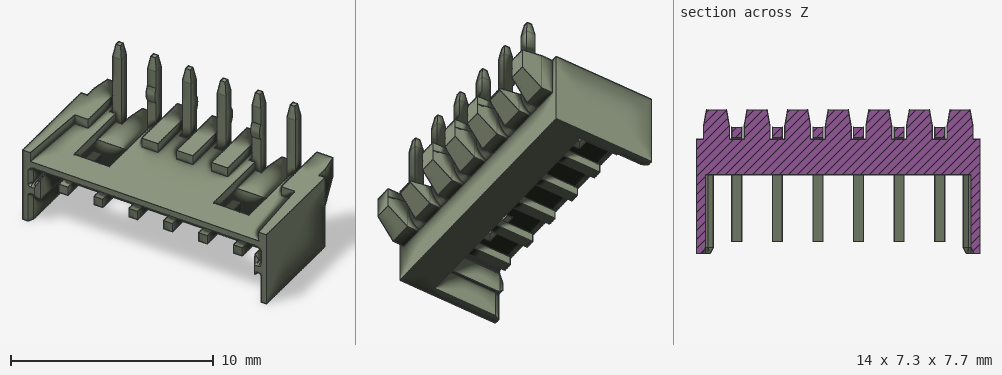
import cadquery as cq
import math


width = 14.0
half_width = width / 2
housing_length = 5.64
plate_top = 3.67
rim_top = 4.2
back_wall_front = 3.88

side_wall = 0.46
ceiling = 3.16
cavity_half_width = half_width - side_wall
corner_cut = 0.11
lead_in = 0.15
lead_in_depth = 0.3

rail_center_z = 1.92
rail_reach = 0.38
rail_neck_half = 0.35
rail_head_half = 0.62
rail_flare = rail_head_half - rail_neck_half

pitch = 2.0
pin_count = 6
pin_size = 0.5
pin_tip_size = 0.27
pin_tip_length = 0.73
pin_top = 7.7
pin_front = 0.59
pin_level = 2.15
pin_leg_y = 5.99
pin_bend_radius = 0.62
bulge_height = 5.52
bulge_half_length = 0.45
bulge_rise = 0.14

overall_length = 7.3
tab_count = pin_count + 1
tab_width = 1.29
tab_end_width = 0.92
tab_taper_start = 6.27
tab_bottom = 2.03

rim_front_width = 0.45
rim_step_width = 0.69

window_front = 1.62
window_width = 2.03


def centered(count):
    """X positions of a row of features spaced by the contact pitch."""
    return [(i - (count - 1) / 2) * pitch for i in range(count)]


def block(x0, x1, y0, y1, z0, z1):
    return cq.Workplane("XY").box(x1 - x0, y1 - y0, z1 - z0, centered=False).translate((x0, y0, z0))


def both_ends(solid):
    """The solid together with its mirror image across x = 0."""
    return solid.union(solid.mirror("YZ"))


def cavity():
    """Cavity with dovetail rails left standing and a lead-in bevel around the opening."""
    wall = cavity_half_width
    head = wall - rail_reach
    right_side = [
        (wall, -lead_in),
        (wall, rail_center_z - rail_neck_half),
        (head + rail_flare, rail_center_z - rail_neck_half),
        (head, rail_center_z - rail_head_half),
        (head, rail_center_z + rail_head_half),
        (head + rail_flare, rail_center_z + rail_neck_half),
        (wall, rail_center_z + rail_neck_half),
        (wall, ceiling - corner_cut),
        (wall - corner_cut, ceiling),
    ]
    left_side = [(-x, z) for x, z in reversed(right_side)]
    section = cq.Workplane("XZ", origin=(0, lead_in_depth, 0))
    outline = right_side + left_side
    bevel_angle = math.degrees(math.atan(lead_in / lead_in_depth))
    straight = section.polyline(outline).close().extrude(lead_in_depth - back_wall_front)
    bevel = section.polyline(outline).close().extrude(lead_in_depth, taper=-bevel_angle)
    return straight.union(bevel)


def tab(x):
    """Rear tab, narrowing towards its end, with a 45 degree slope underneath."""
    half, half_end = tab_width / 2, tab_end_width / 2
    plan = [
        (x - half, back_wall_front),
        (x + half, back_wall_front),
        (x + half, tab_taper_start),
        (x + half_end, overall_length),
        (x - half_end, overall_length),
        (x - half, tab_taper_start),
    ]
    body = cq.Workplane("XY", origin=(0, 0, tab_bottom)).polyline(plan).close().extrude(plate_top - tab_bottom)
    run = overall_length - tab_taper_start
    slope = (
        cq.Workplane("YZ", origin=(x - half, 0, 0))
        .polyline([
            (tab_taper_start, tab_bottom),
            (overall_length, tab_bottom),
            (overall_length, tab_bottom + run),
        ])
        .close()
        .extrude(tab_width)
    )
    return body.cut(slope)


def rib(x):
    """Straight raised rib running along the plate onto the tab."""
    half = tab_end_width / 2
    return block(x - half, x + half, back_wall_front, overall_length, ceiling, rim_top)


def end_rim():
    """Raised rim over one side wall, widening onto the outermost tab."""
    tab_x = centered(tab_count)[-1]
    plan = [
        (half_width, 0),
        (half_width, housing_length),
        (tab_x + tab_width / 2, housing_length),
        (tab_x + tab_width / 2, tab_taper_start),
        (tab_x + tab_end_width / 2, overall_length),
        (tab_x - tab_end_width / 2, overall_length),
        (tab_x - tab_end_width / 2, back_wall_front),
        (half_width - rim_step_width, back_wall_front),
        (half_width - rim_front_width, 0),
    ]
    return cq.Workplane("XY", origin=(0, 0, plate_top)).polyline(plan).close().extrude(rim_top - plate_top)


def window(x):
    """Window into the cavity that continues rearwards as an open channel at ceiling level."""
    half = window_width / 2
    return block(x - half, x + half, window_front, overall_length, ceiling, plate_top)


def pin(x, bulge_direction):
    """Right-angle square contact; bulge_direction is -1 front, +1 rear, 0 none."""
    half = pin_size / 2
    shoulder = pin_top - pin_tip_length
    pin_bottom = pin_level - half
    outer_radius = pin_bend_radius + pin_size
    bend_y = pin_leg_y - half - pin_bend_radius
    bend_z = pin_level + half + pin_bend_radius
    diagonal = math.sqrt(0.5)
    bent_bar = (
        cq.Workplane("YZ", origin=(x - half, 0, 0))
        .moveTo(pin_front, pin_bottom)
        .lineTo(bend_y, pin_bottom)
        .threePointArc(
            (bend_y + outer_radius * diagonal, bend_z - outer_radius * diagonal),
            (bend_y + outer_radius, bend_z),
        )
        .lineTo(pin_leg_y + half, shoulder)
        .lineTo(pin_leg_y - half, shoulder)
        .lineTo(pin_leg_y - half, bend_z)
        .threePointArc(
            (bend_y + pin_bend_radius * diagonal, bend_z - pin_bend_radius * diagonal),
            (bend_y, pin_level + half),
        )
        .lineTo(pin_front, pin_level + half)
        .close()
        .extrude(pin_size)
    )
    tip = (
        cq.Workplane("XY", origin=(x, pin_leg_y, shoulder))
        .rect(pin_size, pin_size)
        .workplane(offset=pin_tip_length)
        .rect(pin_tip_size, pin_tip_size)
        .loft(ruled=True)
    )
    contact = bent_bar.union(tip)
    if bulge_direction:
        face_y = pin_leg_y + bulge_direction * half
        crest_y = face_y + bulge_direction * bulge_rise
        bulge = (
            cq.Workplane("YZ", origin=(x - half, 0, 0))
            .moveTo(pin_leg_y, bulge_height - bulge_half_length)
            .lineTo(face_y, bulge_height - bulge_half_length)
            .threePointArc((crest_y, bulge_height), (face_y, bulge_height + bulge_half_length))
            .lineTo(pin_leg_y, bulge_height + bulge_half_length)
            .close()
            .extrude(pin_size)
        )
        contact = contact.union(bulge)
    return contact


housing = block(-half_width, half_width, 0, housing_length, 0, plate_top)
tab_positions = centered(tab_count)
for tab_x in tab_positions:
    housing = housing.union(tab(tab_x))
housing = housing.cut(cavity())

for window_x in (tab_positions[1], tab_positions[-2]):
    housing = housing.cut(window(window_x))
for rib_x in tab_positions[2:-2]:
    housing = housing.union(rib(rib_x))
housing = housing.union(both_ends(end_rim()))

result = housing
bulge_directions = [0, -1, 1, 1, -1, 0]
for pin_x, direction in zip(centered(pin_count), bulge_directions):
    result = result.union(pin(pin_x, direction))